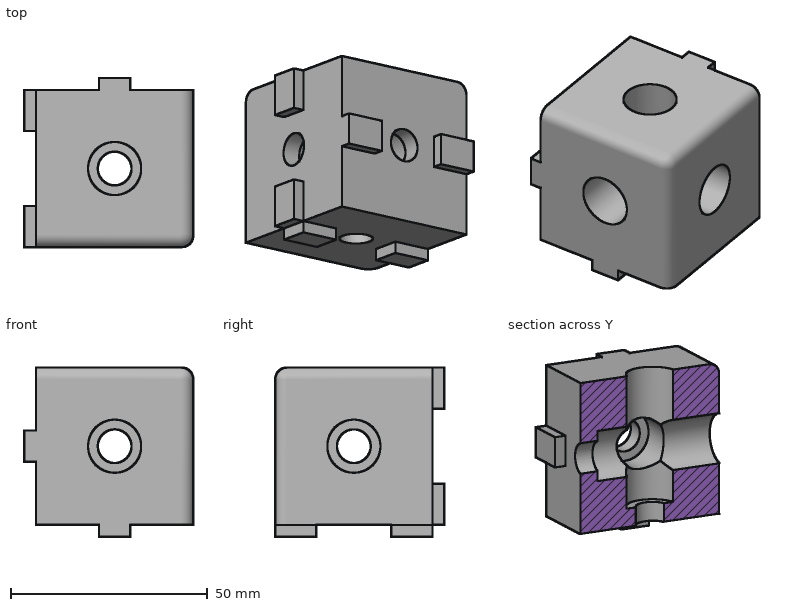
import cadquery as cq

cube_side = 40.0
half_side = cube_side / 2
edge_radius = 3.0

tab_height = 3.0
tab_width = 8.0
tab_length = 10.5
tab_offset = half_side - tab_length / 2

hole_diameter = 8.5
counterbore_diameter = 13.5
seat_thickness = 5.0
counterbore_depth = cube_side - seat_thickness


def rounded_cube():
    """Cube with the three edges meeting at the (+X, -Y, +Z) corner rounded."""
    cube = cq.Workplane("XY").box(cube_side, cube_side, cube_side)
    corner_edges = cube.edges("(>X and >Z) or (>X and <Y) or (<Y and >Z)")
    return corner_edges.fillet(edge_radius)


def tab_pair(size, face_center, spread):
    """Two equal tabs of the given size, set either side of a face center."""
    center = cq.Vector(*face_center)
    offset = cq.Vector(*spread)
    positions = [center - offset, center + offset]
    return cq.Workplane("XY").pushPoints(positions).box(*size)


def add_tabs(body):
    """Add the tabs, which run to the ends of their faces."""
    tab_center = half_side + tab_height / 2
    left = tab_pair((tab_height, tab_length, tab_width), (-tab_center, 0, 0), (0, tab_offset, 0))
    back = tab_pair((tab_width, tab_height, tab_length), (0, tab_center, 0), (0, 0, tab_offset))
    bottom = tab_pair((tab_width, tab_length, tab_height), (0, 0, -tab_center), (0, tab_offset, 0))
    return body.union(left).union(back).union(bottom)


def screw_hole(direction):
    """Through hole with its counterbore opening on the face toward direction."""
    axis = cq.Vector(*direction)
    mouth = axis * half_side
    drill = cq.Solid.makeCylinder(hole_diameter / 2, cube_side, mouth, -axis)
    counterbore = cq.Solid.makeCylinder(counterbore_diameter / 2, counterbore_depth, mouth, -axis)
    return cq.Workplane(obj=drill).union(cq.Workplane(obj=counterbore))


def cut_screw_holes(body):
    """Drill from the +X, -Y and +Z faces; the holes cross at the center."""
    for direction in [(1, 0, 0), (0, -1, 0), (0, 0, 1)]:
        body = body.cut(screw_hole(direction))
    return body


result = cut_screw_holes(add_tabs(rounded_cube()))